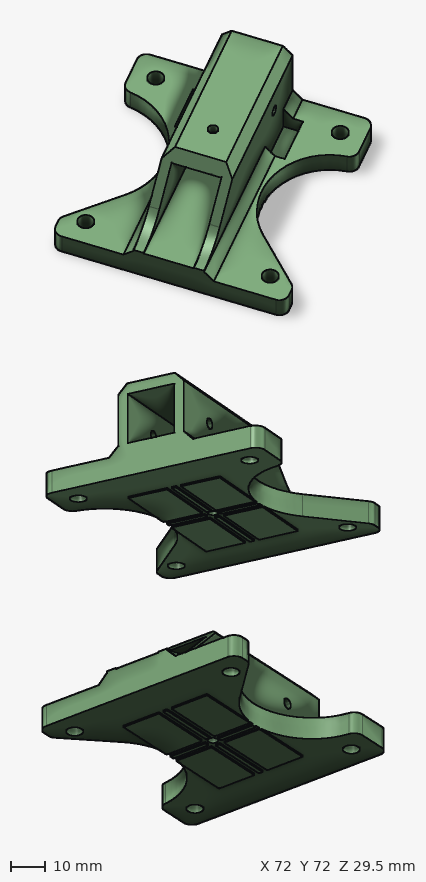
import cadquery as cq
import math

plate_size = 72
plate_thickness = 7.0
corner_radius = 6.0 / 2
waist_radius = 21.0
screw_diameter = 5.0
screw_spacing = 56.9

socket_width = 21.8
socket_top = 29.0
bevel = 3.0
opening_size = 15.4
opening_floor = 10.2
nose_height = 10.5
nose_radius = 18

cross_pin_diameter = 3.2
vertical_pin_diameter = 3.0
pocket_y = 21.0
pocket_length = 14.8
pocket_width = 2 * bevel
pocket_depth = 5.0

pad_height = 0.5
pad_inner = 2.3
pad_outer_x = 15.2
pad_outer_y = 22.6
rib_width = 1.4

half_plate = plate_size / 2
half_socket = socket_width / 2
through = 2 * plate_size
opening_center_z = opening_floor + opening_size / 2


def make_waists():
    """Cutters for both sides: an arc that runs out tangentially in a 45 degree flare."""
    diagonal = waist_radius * math.sqrt(0.5)
    flare_end_y = -waist_radius * math.sqrt(2)
    right_waist = (
        cq.Workplane("XY")
        .moveTo(half_plate, waist_radius)
        .threePointArc((half_plate - waist_radius, 0), (half_plate - diagonal, -diagonal))
        .lineTo(half_plate, flare_end_y)
        .close()
        .extrude(plate_thickness + pad_height)
        .translate((0, 0, -pad_height))
    )
    return right_waist.union(right_waist.mirror("YZ"))


def make_plate():
    """Square plate with a waist cut into both sides and rounded corners."""
    plate = cq.Workplane("XY").rect(plate_size, plate_size).extrude(plate_thickness)
    plate = plate.cut(make_waists())
    return plate.edges("|Z and (<X or >X)").fillet(corner_radius)


def make_socket():
    """Beveled body along Y, before its opening is cut."""
    foot_x = half_socket + bevel
    shoulder_z = socket_top - bevel
    right_half = [
        (foot_x, 0),
        (foot_x, plate_thickness),
        (half_socket, plate_thickness + bevel),
        (half_socket, shoulder_z),
        (half_socket - bevel, socket_top),
    ]
    left_half = [(-x, z) for x, z in reversed(right_half)]
    return (
        cq.Workplane("XZ")
        .polyline(right_half + left_half)
        .close()
        .extrude(half_plate, both=True)
    )


def make_nose_cut():
    """Space above the nose: a 45 degree slope that runs out in a concave arc."""
    def arc_point(angle):
        return (
            -half_plate + nose_radius * math.sin(angle),
            nose_height + nose_radius * (1 - math.cos(angle)),
        )

    slope_start = arc_point(math.pi / 4)
    slope_end_y = slope_start[0] + socket_top - slope_start[1]
    return (
        cq.Workplane("YZ")
        .moveTo(*arc_point(0))
        .threePointArc(arc_point(math.pi / 8), slope_start)
        .lineTo(slope_end_y, socket_top)
        .lineTo(-half_plate, socket_top)
        .close()
        .extrude(half_socket, both=True)
    )


def make_pockets():
    """Rectangular pockets at the foot of both socket walls."""
    offset = half_socket + pocket_width / 2
    return (
        cq.Workplane("XY", origin=(0, pocket_y, plate_thickness - pocket_depth))
        .pushPoints([(-offset, 0), (offset, 0)])
        .rect(pocket_width, pocket_length)
        .extrude(pocket_depth + bevel)
    )


def make_underside():
    """Four pads in the quadrants and four ribs on the center lines between them."""
    length_x = pad_outer_x - pad_inner
    length_y = pad_outer_y - pad_inner
    center_x = pad_inner + length_x / 2
    center_y = pad_inner + length_y / 2
    face = cq.Workplane("XY")
    pads = face.rect(2 * center_x, 2 * center_y, forConstruction=True).vertices()
    pads = pads.rect(length_x, length_y).extrude(-pad_height)
    x_ribs = face.pushPoints([(-center_x, 0), (center_x, 0)])
    x_ribs = x_ribs.rect(length_x, rib_width).extrude(-pad_height)
    y_ribs = face.pushPoints([(0, -center_y), (0, center_y)])
    y_ribs = y_ribs.rect(rib_width, length_y).extrude(-pad_height)
    return pads.union(x_ribs).union(y_ribs)


opening = cq.Workplane("XY").box(opening_size, through, opening_size)
opening = opening.translate((0, 0, opening_center_z))
screw_holes = (
    cq.Workplane("XY")
    .rect(screw_spacing, screw_spacing, forConstruction=True)
    .vertices()
    .circle(screw_diameter / 2)
    .extrude(plate_thickness)
)
cross_pin_hole = (
    cq.Workplane("YZ")
    .center(pocket_y, opening_center_z)
    .circle(cross_pin_diameter / 2)
    .extrude(through, both=True)
)
vertical_pin_hole = cq.Workplane("XY").circle(vertical_pin_diameter / 2).extrude(through, both=True)

socket = make_socket().cut(make_nose_cut())
result = make_plate().union(socket).union(make_underside().cut(make_waists()))
for cutter in (opening, make_pockets(), screw_holes, cross_pin_hole, vertical_pin_hole):
    result = result.cut(cutter)